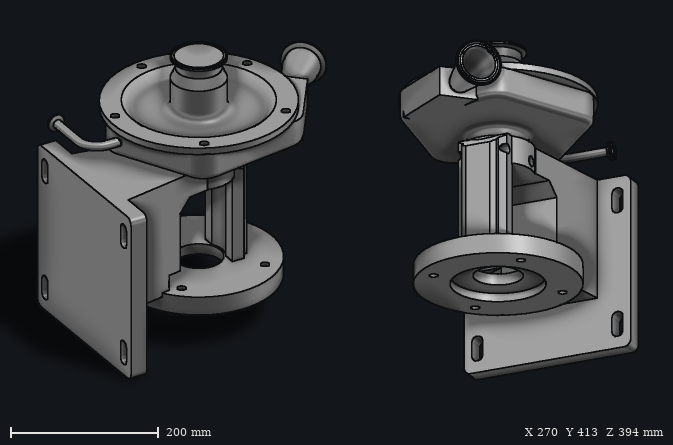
import cadquery as cq
import math


COVER_RADIUS = 135.0
COVER_THICKNESS = 10.0
RECESS_RADIUS = 105.0
RECESS_CONE = 11.7
RECESS_BLEND_RADIUS = 14.0
RECESS_DEPTH = RECESS_CONE + RECESS_BLEND_RADIUS * (1 - math.cos(math.radians(45)))
LUG_COUNT = 5
LUG_FIRST_ANGLE = -27.0
LUG_STEP_ANGLE = 360.0 / LUG_COUNT
COVER_BOLT_CIRCLE_RADIUS = 121.8
COVER_BOLT_DIAMETER = 12.0

GROOVE_RADIUS = 1.5

INLET_HEIGHT = 68.7
INLET_RADIUS = 38.75
INLET_NECK_RADIUS = 31.8
INLET_CONE_BOTTOM = INLET_HEIGHT - 34.0
INLET_CONE_TOP = INLET_HEIGHT - 18.7
INLET_ROOT_FILLET = 15.0
INLET_RIM_THICKNESS = 3.0
INLET_RIM_TAPER = 2.4
INLET_GROOVE_CENTER_RADIUS = 35.2

CASING_BOTTOM = -52.0
CASING_CORNER_RADIUS = 32.0
CASING_CORNER_PITCH_RADIUS = 101.5
DISCHARGE_CORNER_CENTER = (71.0, 85.0)
CUTWATER_CENTER = (-49.0, 106.5)
CUTWATER_RADIUS = 24.0
CASING_BOTTOM_FILLET = 9.0

DISCHARGE_ANGLE = 135.0
DISCHARGE_OFFSET = 96.5
DISCHARGE_Z = -32.2
DISCHARGE_FACE = 110.6
DISCHARGE_NECK_RADIUS = 12.7
DISCHARGE_NECK_LENGTH = 4.0
DISCHARGE_NECK_ROOT = DISCHARGE_FACE - 5.0
DISCHARGE_END = 194.0
DISCHARGE_BLOCK_TIP = (9.1, 165.5)
DISCHARGE_BLOCK_FACE_LENGTH = 55.0
DISCHARGE_BLOCK_SIDE_NORMAL = 56.0
DISCHARGE_RIM_RADIUS = 32.0
DISCHARGE_RIM_THICKNESS = 3.0
DISCHARGE_RIM_TAPER = 3.0
DISCHARGE_GROOVE_CENTER_RADIUS = 28.4
DISCHARGE_PIPE_RADIUS = 25.4
DISCHARGE_PIPE_LENGTH = 17.3
DISCHARGE_SMALL_RADIUS = 14.5
DISCHARGE_WALL = 1.7
DISCHARGE_BORE_CYLINDER = 14.0

DRAIN_RADIUS = 6.35
DRAIN_BORE_RADIUS = 4.75
DRAIN_BEND_RADIUS = 28.6
DRAIN_Y = -172.3
DRAIN_Z = -29.4
DRAIN_END_X = -89.5
DRAIN_RIM_RADIUS = 12.7
DRAIN_RIM_THICKNESS = 3.0
DRAIN_RIM_TAPER = 2.0
DRAIN_GROOVE_CENTER_RADIUS = 9.2
DRAIN_ROOT_Y = -110.0

NECK_RADIUS = 41.5
NECK_FILLET = 9.0
HUB_RADIUS = 50.0
HUB_TOP = -72.7
HUB_BOTTOM = -112.0
HUB_HOLE_DIAMETER = 14.5
HUB_HOLE_Z = -99.6
HUB_HOLE_DEPTH = 15.0

MOTOR_FLANGE_RADIUS = 115.0
MOTOR_FLANGE_TOP = -241.8
MOTOR_FLANGE_THICKNESS = 28.0
MOTOR_FLANGE_BORE_RADIUS = 34.0
MOTOR_SPIGOT_RADIUS = 65.0
MOTOR_SPIGOT_DEPTH = 12.0
MOTOR_BOLT_COUNT = 4
MOTOR_BOLT_CIRCLE_RADIUS = 92.6
MOTOR_BOLT_DIAMETER = 12.0

LEG_HALF_WIDTH = 36.4
LEG_FRONT_Y = 31.5
LEG_SHOULDER_Y = 49.8
LEG_STEP_Y = 55.0
LEG_STEP_HALF_WIDTH = 26.0
LEG_EDGE_Y = 60.3
LEG_BACK_Y = 64.7
LEG_BACK_HALF_WIDTH = 18.0
LEG_BORE_RADIUS = 36.8
LEG_CHAMFER_LENGTH = 19.2
LEG_CHAMFER_DROP = 16.0
LEG_HOLE_DIAMETER = 14.0
LEG_HOLE_Y = 47.2
LEG_HOLE_Z = -95.6

PLATE_SIZE = 250.0
PLATE_THICKNESS = 25.0
PLATE_FRONT_Y = -180.0
PLATE_BACK_Y = PLATE_FRONT_Y + PLATE_THICKNESS
PLATE_TOP = -75.3
PLATE_CORNER_RADIUS = 10.0
SLOT_LENGTH = 36.0
SLOT_WIDTH = 16.0
SLOT_SPACING_X = 210.0
SLOT_SPACING_Z = 180.0

WEB_HUB_Y = -15.0
WEB_HUB_HALF_WIDTH = 49.0
WEB_PLATE_HALF_WIDTH = 75.3
WEB_BOTTOM = -247.7
WINDOW_Y = -63.0
WINDOW_CHAMFER_LENGTH = 17.0
WINDOW_CHAMFER_HEIGHT = 19.2
WEB_RELIEF_Y = -82.8
WEB_RELIEF_INNER_HALF_WIDTH = 25.0
WEB_RELIEF_HEIGHT = 22.6


def polar(radius, degrees):
    angle = math.radians(degrees)
    return (radius * math.cos(angle), radius * math.sin(angle))


def cylinder(radius, bottom, top):
    return cq.Workplane("XY").workplane(offset=bottom).circle(radius).extrude(top - bottom)


def groove(center_radius):
    """Torus about Z that cuts a half-round groove into a face at Z = 0."""
    return (
        cq.Workplane("XZ")
        .center(center_radius, 0)
        .circle(GROOVE_RADIUS)
        .revolve(360, (-center_radius, 0, 0), (-center_radius, 1, 0))
    )


def tangent_outline(discs):
    """Closed outline around discs (x, y, radius), listed counter-clockwise."""
    count = len(discs)
    exit_angles = []
    for index, (x, y, radius) in enumerate(discs):
        next_x, next_y, next_radius = discs[(index + 1) % count]
        distance = math.hypot(next_x - x, next_y - y)
        heading = math.atan2(next_y - y, next_x - x)
        normal = heading - math.acos((radius - next_radius) / distance)
        exit_angles.append(math.degrees(normal))
    outline = None
    for index, (x, y, radius) in enumerate(discs):
        entry = exit_angles[index - 1]
        turn = (exit_angles[index] - entry) % 360
        points = []
        for angle in (entry, entry + turn / 2, entry + turn):
            dx, dy = polar(radius, angle)
            points.append((x + dx, y + dy))
        if outline is None:
            outline = cq.Workplane("XY").moveTo(*points[0])
        else:
            outline = outline.lineTo(*points[0])
        outline = outline.threePointArc(points[1], points[2])
    return outline.close()


def make_cover():
    cover = cylinder(COVER_RADIUS, -COVER_THICKNESS, 0)
    bolts = cylinder(COVER_BOLT_DIAMETER / 2, -COVER_THICKNESS, 0)
    for index in range(LUG_COUNT):
        x, y = polar(COVER_BOLT_CIRCLE_RADIUS, LUG_FIRST_ANGLE + index * LUG_STEP_ANGLE)
        cover = cover.cut(bolts.translate((x, y, 0)))
    return cover


def make_recess():
    cone_radius = RECESS_RADIUS - RECESS_CONE
    blend_center_r = cone_radius - RECESS_BLEND_RADIUS * math.sin(math.radians(45))
    blend_center_z = RECESS_BLEND_RADIUS - RECESS_DEPTH
    blend_dr, blend_dz = polar(RECESS_BLEND_RADIUS, -67.5)
    return (
        cq.Workplane("XZ")
        .lineTo(RECESS_RADIUS, 0)
        .lineTo(cone_radius, -RECESS_CONE)
        .threePointArc(
            (blend_center_r + blend_dr, blend_center_z + blend_dz),
            (blend_center_r, -RECESS_DEPTH),
        )
        .lineTo(0, -RECESS_DEPTH)
        .close()
        .revolve(360, (0, 0, 0), (0, 1, 0))
    )


def make_inlet():
    root_r = INLET_RADIUS + INLET_ROOT_FILLET
    root_z = INLET_ROOT_FILLET - RECESS_DEPTH
    arc_dr, arc_dz = polar(INLET_ROOT_FILLET, 225)
    rim_bottom = INLET_HEIGHT - INLET_RIM_THICKNESS
    inlet = (
        cq.Workplane("XZ")
        .moveTo(0, -RECESS_DEPTH)
        .lineTo(root_r, -RECESS_DEPTH)
        .threePointArc((root_r + arc_dr, root_z + arc_dz), (INLET_RADIUS, root_z))
        .lineTo(INLET_RADIUS, INLET_CONE_BOTTOM)
        .lineTo(INLET_NECK_RADIUS, INLET_CONE_TOP)
        .lineTo(INLET_NECK_RADIUS, rim_bottom - INLET_RIM_TAPER)
        .lineTo(INLET_RADIUS, rim_bottom)
        .lineTo(INLET_RADIUS, INLET_HEIGHT)
        .lineTo(0, INLET_HEIGHT)
        .close()
        .revolve(360, (0, 0, 0), (0, 1, 0))
    )
    return inlet.cut(groove(INLET_GROOVE_CENTER_RADIUS).translate((0, 0, INLET_HEIGHT)))


def make_casing():
    discs = [
        DISCHARGE_CORNER_CENTER + (CASING_CORNER_RADIUS,),
        CUTWATER_CENTER + (CUTWATER_RADIUS,),
    ]
    for index in range(len(discs), LUG_COUNT):
        angle = LUG_FIRST_ANGLE + (index + 1) * LUG_STEP_ANGLE
        discs.append(polar(CASING_CORNER_PITCH_RADIUS, angle) + (CASING_CORNER_RADIUS,))
    return (
        tangent_outline(discs)
        .extrude(-COVER_THICKNESS - CASING_BOTTOM)
        .translate((0, 0, CASING_BOTTOM))
        .faces("<Z")
        .edges()
        .fillet(CASING_BOTTOM_FILLET)
    )


def make_discharge_block():
    tip_x, tip_y = DISCHARGE_BLOCK_TIP
    face_dx, face_dy = polar(DISCHARGE_BLOCK_FACE_LENGTH, DISCHARGE_ANGLE + 90)
    corner_x, corner_y = DISCHARGE_CORNER_CENTER
    side_dx, side_dy = polar(CASING_CORNER_RADIUS, DISCHARGE_BLOCK_SIDE_NORMAL)
    return (
        cq.Workplane("XY")
        .workplane(offset=CASING_BOTTOM)
        .moveTo(tip_x, tip_y)
        .lineTo(corner_x + side_dx, corner_y + side_dy)
        .lineTo(corner_x, corner_y)
        .lineTo(tip_x + face_dx, tip_y + face_dy)
        .close()
        .extrude(-COVER_THICKNESS - CASING_BOTTOM)
    )


def place_discharge(nozzle):
    """Turn a nozzle drawn along Z onto the discharge axis."""
    return (
        nozzle.rotate((0, 0, 0), (0, 1, 0), 90)
        .translate((0, -DISCHARGE_OFFSET, DISCHARGE_Z))
        .rotate((0, 0, 0), (0, 0, 1), DISCHARGE_ANGLE)
    )


def make_discharge_nozzle():
    pipe_start = DISCHARGE_END - DISCHARGE_PIPE_LENGTH
    rim_start = DISCHARGE_END - DISCHARGE_RIM_THICKNESS
    neck_end = DISCHARGE_FACE + DISCHARGE_NECK_LENGTH
    nozzle = (
        cq.Workplane("XZ")
        .moveTo(0, DISCHARGE_NECK_ROOT)
        .lineTo(DISCHARGE_NECK_RADIUS, DISCHARGE_NECK_ROOT)
        .lineTo(DISCHARGE_NECK_RADIUS, neck_end)
        .lineTo(DISCHARGE_SMALL_RADIUS, neck_end)
        .lineTo(DISCHARGE_PIPE_RADIUS, pipe_start)
        .lineTo(DISCHARGE_PIPE_RADIUS, rim_start - DISCHARGE_RIM_TAPER)
        .lineTo(DISCHARGE_RIM_RADIUS, rim_start)
        .lineTo(DISCHARGE_RIM_RADIUS, DISCHARGE_END)
        .lineTo(0, DISCHARGE_END)
        .close()
        .revolve(360, (0, 0, 0), (0, 1, 0))
    )
    bore_radius = DISCHARGE_PIPE_RADIUS - DISCHARGE_WALL
    bore = (
        cq.Workplane("XZ")
        .moveTo(0, DISCHARGE_FACE)
        .lineTo(DISCHARGE_NECK_RADIUS - DISCHARGE_WALL, DISCHARGE_FACE)
        .lineTo(bore_radius, DISCHARGE_END - DISCHARGE_BORE_CYLINDER)
        .lineTo(bore_radius, DISCHARGE_END)
        .lineTo(0, DISCHARGE_END)
        .close()
        .revolve(360, (0, 0, 0), (0, 1, 0))
    )
    rim_groove = groove(DISCHARGE_GROOVE_CENTER_RADIUS).translate((0, 0, DISCHARGE_END))
    return place_discharge(nozzle.cut(bore).cut(rim_groove))


def drain_tube(radius):
    """Round bar along the drain's centre line, from inside the casing to the ferrule face."""
    bend_y = DRAIN_Y + DRAIN_BEND_RADIUS
    mid_dx, mid_dy = polar(DRAIN_BEND_RADIUS, -45)
    path = (
        cq.Workplane("XY", origin=(0, 0, DRAIN_Z))
        .moveTo(0, DRAIN_ROOT_Y)
        .lineTo(0, bend_y)
        .threePointArc((mid_dx - DRAIN_BEND_RADIUS, bend_y + mid_dy), (-DRAIN_BEND_RADIUS, DRAIN_Y))
        .lineTo(DRAIN_END_X, DRAIN_Y)
        .wire()
    )
    root = cq.Workplane("XZ", origin=(0, DRAIN_ROOT_Y, DRAIN_Z))
    return root.circle(radius).sweep(path)


def make_drain():
    rim = (
        cq.Workplane("XY")
        .lineTo(DRAIN_RIM_THICKNESS + DRAIN_RIM_TAPER, 0)
        .lineTo(DRAIN_RIM_THICKNESS + DRAIN_RIM_TAPER, DRAIN_RADIUS)
        .lineTo(DRAIN_RIM_THICKNESS, DRAIN_RIM_RADIUS)
        .lineTo(0, DRAIN_RIM_RADIUS)
        .close()
        .revolve(360, (0, 0, 0), (1, 0, 0))
        .translate((DRAIN_END_X, DRAIN_Y, DRAIN_Z))
    )
    rim_groove = (
        groove(DRAIN_GROOVE_CENTER_RADIUS)
        .rotate((0, 0, 0), (0, 1, 0), 90)
        .translate((DRAIN_END_X, DRAIN_Y, DRAIN_Z))
    )
    tube = drain_tube(DRAIN_RADIUS).union(rim.cut(rim_groove))
    return tube.cut(drain_tube(DRAIN_BORE_RADIUS))


def make_neck():
    flare_r = NECK_RADIUS + NECK_FILLET
    flare_z = CASING_BOTTOM - NECK_FILLET
    arc_dr, arc_dz = polar(NECK_FILLET, 135)
    return (
        cq.Workplane("XZ")
        .moveTo(0, HUB_TOP)
        .lineTo(NECK_RADIUS, HUB_TOP)
        .lineTo(NECK_RADIUS, flare_z)
        .threePointArc((flare_r + arc_dr, flare_z + arc_dz), (flare_r, CASING_BOTTOM))
        .lineTo(0, CASING_BOTTOM)
        .close()
        .revolve(360, (0, 0, 0), (0, 1, 0))
    )


def make_hub():
    hole = (
        cq.Workplane("YZ", origin=(-HUB_RADIUS, 0, HUB_HOLE_Z))
        .circle(HUB_HOLE_DIAMETER / 2)
        .extrude(HUB_HOLE_DEPTH)
    )
    return cylinder(HUB_RADIUS, HUB_BOTTOM, HUB_TOP).cut(hole)


def make_leg():
    half_outline = [
        (LEG_HALF_WIDTH, LEG_FRONT_Y),
        (LEG_HALF_WIDTH, LEG_SHOULDER_Y),
        (LEG_STEP_HALF_WIDTH, LEG_STEP_Y),
        (LEG_STEP_HALF_WIDTH, LEG_EDGE_Y),
        (LEG_BACK_HALF_WIDTH, LEG_BACK_Y),
    ]
    outline = half_outline + [(-x, y) for x, y in reversed(half_outline)]
    leg = (
        cq.Workplane("XY")
        .workplane(offset=MOTOR_FLANGE_TOP)
        .polyline(outline)
        .close()
        .extrude(HUB_TOP - MOTOR_FLANGE_TOP)
    )
    chamfer = (
        cq.Workplane("YZ")
        .moveTo(LEG_BACK_Y, HUB_TOP)
        .lineTo(LEG_BACK_Y - LEG_CHAMFER_LENGTH, HUB_TOP)
        .lineTo(LEG_BACK_Y, HUB_TOP - LEG_CHAMFER_DROP)
        .close()
        .extrude(LEG_HALF_WIDTH, both=True)
    )
    return leg.cut(chamfer).cut(cylinder(LEG_BORE_RADIUS, MOTOR_FLANGE_TOP, HUB_BOTTOM))


def make_leg_hole():
    return (
        cq.Workplane("YZ", origin=(0, LEG_HOLE_Y, LEG_HOLE_Z))
        .circle(LEG_HOLE_DIAMETER / 2)
        .extrude(HUB_RADIUS, both=True)
    )


def make_motor_flange():
    bottom = MOTOR_FLANGE_TOP - MOTOR_FLANGE_THICKNESS
    return cylinder(MOTOR_FLANGE_RADIUS, bottom, MOTOR_FLANGE_TOP)


def make_motor_flange_holes():
    bottom = MOTOR_FLANGE_TOP - MOTOR_FLANGE_THICKNESS
    holes = cylinder(MOTOR_FLANGE_BORE_RADIUS, bottom, MOTOR_FLANGE_TOP)
    holes = holes.union(cylinder(MOTOR_SPIGOT_RADIUS, bottom, bottom + MOTOR_SPIGOT_DEPTH))
    bolt_hole = cylinder(MOTOR_BOLT_DIAMETER / 2, bottom, MOTOR_FLANGE_TOP)
    for index in range(MOTOR_BOLT_COUNT):
        x, y = polar(MOTOR_BOLT_CIRCLE_RADIUS, (index + 0.5) * 360 / MOTOR_BOLT_COUNT)
        holes = holes.union(bolt_hole.translate((x, y, 0)))
    return holes


def make_wall_plate():
    return (
        cq.Workplane("XZ", origin=(0, PLATE_BACK_Y, PLATE_TOP - PLATE_SIZE / 2))
        .rect(PLATE_SIZE, PLATE_SIZE)
        .extrude(PLATE_THICKNESS)
        .edges("|Y")
        .fillet(PLATE_CORNER_RADIUS)
        .faces("<Y")
        .workplane(origin=(0, PLATE_FRONT_Y, PLATE_TOP - PLATE_SIZE / 2))
        .rarray(SLOT_SPACING_X, SLOT_SPACING_Z, 2, 2)
        .slot2D(SLOT_LENGTH, SLOT_WIDTH, 90)
        .cutThruAll()
    )


def web_half_width(y):
    """Half-width of the tapered web at the given Y."""
    taper = (WEB_PLATE_HALF_WIDTH - WEB_HUB_HALF_WIDTH) / (WEB_HUB_Y - PLATE_BACK_Y)
    return WEB_HUB_HALF_WIDTH + taper * (WEB_HUB_Y - y)


def make_web():
    web = (
        cq.Workplane("XY")
        .workplane(offset=WEB_BOTTOM)
        .moveTo(-WEB_HUB_HALF_WIDTH, WEB_HUB_Y)
        .lineTo(WEB_HUB_HALF_WIDTH, WEB_HUB_Y)
        .lineTo(WEB_PLATE_HALF_WIDTH, PLATE_BACK_Y)
        .lineTo(-WEB_PLATE_HALF_WIDTH, PLATE_BACK_Y)
        .close()
        .extrude(PLATE_TOP - WEB_BOTTOM)
    )
    window = (
        cq.Workplane("YZ")
        .moveTo(WEB_HUB_Y, HUB_BOTTOM)
        .lineTo(WINDOW_Y + WINDOW_CHAMFER_LENGTH, HUB_BOTTOM)
        .lineTo(WINDOW_Y, HUB_BOTTOM - WINDOW_CHAMFER_HEIGHT)
        .lineTo(WINDOW_Y, WEB_BOTTOM)
        .lineTo(WEB_HUB_Y, WEB_BOTTOM)
        .close()
        .extrude(WEB_PLATE_HALF_WIDTH, both=True)
    )
    relief = (
        cq.Workplane("XY")
        .workplane(offset=MOTOR_FLANGE_TOP)
        .moveTo(WEB_RELIEF_INNER_HALF_WIDTH, WINDOW_Y)
        .lineTo(WEB_PLATE_HALF_WIDTH, WINDOW_Y)
        .lineTo(WEB_PLATE_HALF_WIDTH, WEB_RELIEF_Y)
        .lineTo(web_half_width(WEB_RELIEF_Y), WEB_RELIEF_Y)
        .close()
        .extrude(WEB_RELIEF_HEIGHT)
    )
    return web.cut(window).cut(relief).cut(relief.mirror("YZ"))


bracket = (
    make_hub()
    .union(make_leg())
    .cut(make_leg_hole())
    .union(make_web())
    .union(make_motor_flange().cut(make_motor_flange_holes()))
    .union(make_wall_plate())
)
pump = (
    make_casing()
    .union(make_discharge_block())
    .union(make_cover())
    .cut(make_recess())
    .union(make_inlet())
    .union(make_discharge_nozzle())
    .union(make_drain())
    .union(make_neck())
)
result = bracket.union(pump)